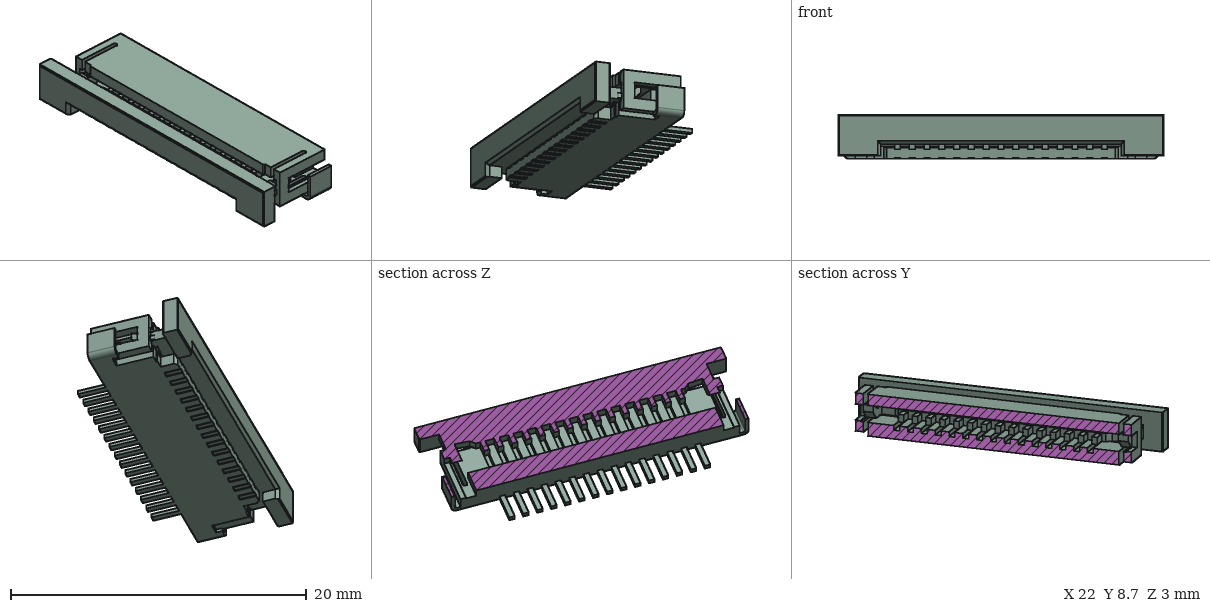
import cadquery as cq
overall_length = 22.0
overall_depth = 8.7
overall_height = 3.0

bar_depth = 1.12
bar_bottom = 0.2
bar_chamfer = 0.077
mouth_half = 8.12
mouth_top = 1.0
mouth_lead_in = 0.22

housing_half = 9.99
housing_front = 2.5
housing_back = 6.69
cavity_floor = 1.05
cavity_top = 2.18
cavity_back = 4.97
channel_floor = 1.0
lip_front = 2.38
lip_half = 8.54
lip_corner = 0.1
side_wall_depth = 0.81
foot_step_height = 0.26

slot_inner = 9.09
slot_width = 0.3
slot_back = 5.59
slot_corner_radius = 0.13

entry_front = 1.25
entry_half = 7.92
entry_height = 0.85
entry_side_taper = 0.2
entry_top_taper = 0.1
entry_taper_depth = 0.25
sill_half = 8.55
sill_front = 2.42

tongue_half = 8.87
tongue_top = 1.58
tongue_shoulder_back = 2.29
tongue_back = 2.7
tongue_middle_half = 7.83
rib_top = 1.52
rib_back = 3.52

arm_width = 0.73
arm_top = 1.78
arm_ramp_front = 1.45
arm_ramp_height = 0.18
hook_back = 3.92
hook_top = 2.11
hook_nose_bottom = 1.58
hook_underside_front = 3.32
notch_front = 2.66
notch_bottom_y = 3.01
notch_bottom = 1.63
nub_front = 2.25
nub_width = 0.07
nub_bottom = 1.08
nub_top = 1.43

contact_count = 15
contact_pitch = 1.0
contact_width = 0.4
contact_thickness = 0.29
groove_bottom = 0.65
underside_groove = 0.07

tab_outer = 10.65
tab_thickness = foot_step_height
tab_front = 4.73
tab_top = 1.98
tab_bend_radius = 0.4
tab_foot_step = 9.85
tab_foot_front = 5.17


def block(x_range, y_range, z_range):
    """Axis-aligned box given by its limits."""
    size = [high - low for low, high in (x_range, y_range, z_range)]
    return cq.Workplane("XY").box(*size, centered=False).translate((x_range[0], y_range[0], z_range[0]))


def centred_block(half_length, y_range, z_range):
    """Box symmetric about X = 0."""
    return block((-half_length, half_length), y_range, z_range)


def side_profile(points, x_start, width):
    """Closed (Y, Z) outline extruded along +X."""
    return cq.Workplane("YZ").polyline(points).close().extrude(width).translate((x_start, 0, 0))


def both_ends(shape):
    """The shape together with its mirror image at the other end."""
    return shape.union(shape.mirror("YZ"))


def contact_positions():
    middle = (contact_count - 1) / 2
    return [(index - middle) * contact_pitch for index in range(contact_count)]


def make_bar():
    bar = centred_block(overall_length / 2, (0, bar_depth), (bar_bottom, overall_height))
    bar = bar.edges("|Z").chamfer(bar_chamfer)
    bar = bar.faces("<Y").edges("|X").chamfer(bar_chamfer)
    mouth = centred_block(mouth_half, (0, bar_depth), (0, mouth_top))
    lead_in = (
        cq.Workplane("XZ")
        .rect(2 * (mouth_half + mouth_lead_in), 2 * (mouth_top + mouth_lead_in))
        .workplane(offset=-mouth_lead_in)
        .rect(2 * mouth_half, 2 * mouth_top)
        .loft()
    )
    return bar.cut(mouth).cut(lead_in)


def make_tongue():
    """Plate behind the slider bar with tapered back corners and one rib over each contact."""
    right_edge = [
        (tongue_half, bar_depth),
        (tongue_half, tongue_shoulder_back),
        (tongue_middle_half, lip_front),
        (tongue_middle_half - tongue_back + lip_front, tongue_back),
    ]
    left_edge = [(-x, y) for x, y in reversed(right_edge)]
    tongue = (
        cq.Workplane("XY", origin=(0, 0, mouth_top))
        .polyline(right_edge + left_edge)
        .close()
        .extrude(tongue_top - mouth_top)
    )
    for x in contact_positions():
        rib = (x - contact_width / 2, x + contact_width / 2)
        tongue = tongue.union(block(rib, (tongue_back, rib_back), (mouth_top, rib_top)))
    return tongue


def make_arm():
    """Left latch arm: a shank with a hook at its back end and a nub on its outer side."""
    arm_points = [
        (bar_depth, mouth_top),
        (hook_underside_front, mouth_top),
        (hook_back, hook_nose_bottom),
        (hook_back, hook_top),
        (notch_bottom_y, notch_bottom),
        (notch_front, arm_top),
        (arm_ramp_front, arm_top),
        (bar_depth, arm_top + arm_ramp_height),
    ]
    arm_outer = -tongue_half - arm_width
    nub = (
        cq.Workplane("XY", origin=(0, 0, nub_bottom))
        .polyline([(arm_outer, nub_front), (arm_outer - nub_width, housing_front), (arm_outer, housing_front)])
        .close()
        .extrude(nub_top - nub_bottom)
    )
    return side_profile(arm_points, arm_outer, arm_width).union(nub)


def make_latch_slot():
    slot = block((-slot_inner - slot_width, -slot_inner), (lip_front, slot_back), (0, overall_height))
    return slot.edges("|Z and >Y").fillet(slot_corner_radius)


def make_housing():
    body = centred_block(housing_half, (housing_front, housing_back), (0, overall_height))
    lip = (
        centred_block(lip_half, (lip_front, housing_front), (cavity_top, overall_height))
        .edges("|Z and <Y")
        .chamfer(lip_corner)
    )
    sill = centred_block(sill_half, (sill_front, housing_front), (0, entry_height))
    body = body.union(lip).union(sill)

    cavity = centred_block(tongue_half, (housing_front, cavity_back), (channel_floor, cavity_top))
    arm_channel = block(
        (-tongue_half - arm_width, -tongue_half), (housing_front, housing_back), (channel_floor, cavity_top)
    )
    window = block(
        (-housing_half, -slot_inner), (housing_front + side_wall_depth, housing_back), (cavity_floor, cavity_top)
    )
    foot_step = block((-housing_half, -slot_inner), (housing_front, housing_back), (0, foot_step_height))
    end_cuts = arm_channel.union(window).union(foot_step).union(make_latch_slot())
    return body.cut(cavity).cut(both_ends(end_cuts))


def make_entry_floor():
    """Cable entry floor with a tapered front."""
    taper_back = entry_front + entry_taper_depth
    floor = centred_block(entry_half, (entry_front, housing_front), (0, entry_height))
    top_wedge = side_profile(
        [
            (entry_front, entry_height - entry_top_taper),
            (taper_back, entry_height),
            (entry_front, entry_height),
        ],
        -entry_half,
        2 * entry_half,
    )
    side_wedge = (
        cq.Workplane("XY")
        .polyline(
            [(-entry_half, entry_front), (-entry_half + entry_side_taper, entry_front), (-entry_half, taper_back)]
        )
        .close()
        .extrude(entry_height)
    )
    return floor.cut(both_ends(side_wedge)).cut(top_wedge)


def make_contact_grooves():
    """Grooves above and below the entry floor, one pair per contact; the upper ones run on into the cavity."""
    grooves = cq.Workplane("XY")
    for x in contact_positions():
        width_range = (x - contact_width / 2, x + contact_width / 2)
        upper = block(width_range, (entry_front, cavity_back), (groove_bottom, channel_floor))
        lower = block(width_range, (entry_front, sill_front), (0, underside_groove))
        grooves = grooves.union(upper).union(lower)
    return grooves


def make_contact_tails():
    tails = cq.Workplane("XY")
    for x in contact_positions():
        tail = (x - contact_width / 2, x + contact_width / 2)
        tails = tails.union(block(tail, (housing_back, overall_depth), (0, contact_thickness)))
    return tails


def make_tab():
    """Left solder tab: an upright plate bent inward to a stepped foot under the housing edge."""
    tab = block((-tab_outer, -tab_foot_step), (tab_front, housing_back), (0, tab_top))
    tab = tab.edges("|Y and <X and <Z").fillet(tab_bend_radius)
    inside = block(
        (-tab_outer + tab_thickness, -tab_foot_step), (tab_front, housing_back), (foot_step_height, tab_top)
    )
    inside = inside.edges("|Y and <X and <Z").fillet(tab_bend_radius - tab_thickness)
    foot = block((-tab_foot_step, -slot_inner), (tab_foot_front, housing_back), (0, foot_step_height))
    return tab.cut(inside).union(foot)


result = (
    make_housing()
    .union(make_entry_floor())
    .cut(make_contact_grooves())
    .union(make_contact_tails())
    .union(make_bar())
    .union(make_tongue())
    .union(both_ends(make_arm()))
    .union(both_ends(make_tab()))
)